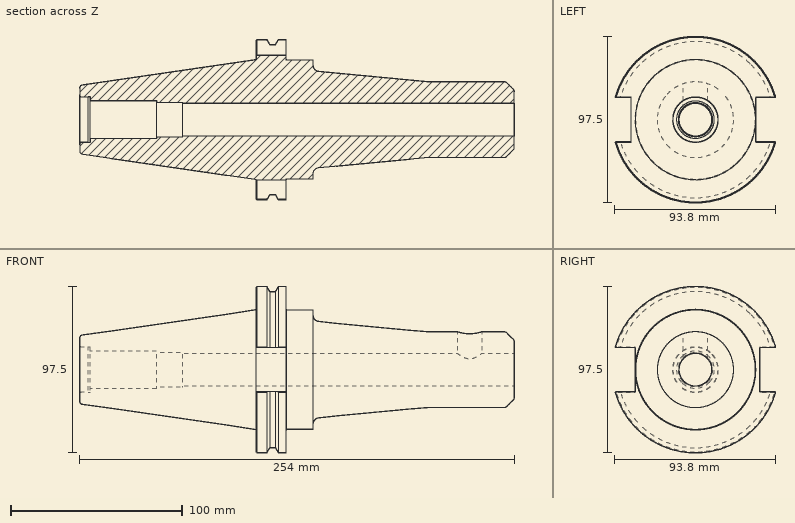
import cadquery as cq
import math

TAPER_LENGTH = 101.6
NOSE_LENGTH = 152.42
GAUGE_DIAMETER = 69.85
TAPER_RATIO = 7 / 24
TAPER_END_ROUND = 2.0

FLANGE_DIAMETER = 97.5
FLANGE_START = 1.5875
FLANGE_END = 19.05
FLANGE_CHAMFER = 0.6

GROOVE_CENTER = 11.2
GROOVE_DEPTH = 3.0
GROOVE_FLOOR_WIDTH = 3.3
GROOVE_WALL_ANGLE = 30

KEYWAY_WIDTH = 25.7
KEYWAY_CHAMFER = 0.45
KEYWAY_FLOOR_FRONT = 35.3
KEYWAY_FLOOR_BACK = 37.7

COLLAR_DIAMETER = GAUGE_DIAMETER
COLLAR_END = 34.925
COLLAR_EDGE_ROUND = 0.5
COLLAR_BASE_ROUND = KEYWAY_FLOOR_FRONT - COLLAR_DIAMETER / 2

SHANK_DIAMETER = 44.45
SHANK_START = 102.0
NECK_ROOT_DIAMETER = 57.15
NECK_ROOT_ROUND = 3.5

NOSE_CHAMFER = 5.0
NOSE_ROUND = 2.0

MOUTH_ROUND = 1.4
PILOT_DIAMETER = 26.2
PILOT_DEPTH = 5.0
UNDERCUT_DIAMETER = 26.7
UNDERCUT_DEPTH = 6.2
THREAD_DIAMETER = 21.97
THREAD_DEPTH = 45.0
RELIEF_DIAMETER = 20.05
RELIEF_DEPTH = 60.0
BORE_DIAMETER = 19.05

SCREW_HOLE_DIAMETER = 14.35
SCREW_HOLE_FROM_NOSE = 26.1


def revolved(profile):
    """Turn a closed profile of (x, radius) points around the X axis."""
    return profile.close().revolve(360, (0, 0, 0), (1, 0, 0))


def round_circle(body, x, radius, round_radius):
    """Fillet the circular edge of the given radius at position x."""
    reach = 0.1
    low_corner = (x - reach, -radius - reach, -radius - reach)
    high_corner = (x + reach, radius + reach, radius + reach)
    circles = body.edges(cq.selectors.BoxSelector(low_corner, high_corner, boundingbox=True))
    wanted = [edge for edge in circles.vals() if abs(edge.BoundingBox().zlen / 2 - radius) < reach]
    return body.newObject(wanted).fillet(round_radius)


def make_taper():
    gauge_radius = GAUGE_DIAMETER / 2
    small_radius = gauge_radius - TAPER_LENGTH * TAPER_RATIO / 2
    base_radius = gauge_radius + FLANGE_START * TAPER_RATIO / 2
    profile = (
        cq.Workplane("XY")
        .moveTo(-TAPER_LENGTH, 0)
        .lineTo(-TAPER_LENGTH, small_radius)
        .lineTo(FLANGE_START, base_radius)
        .lineTo(FLANGE_START, 0)
    )
    return round_circle(revolved(profile), -TAPER_LENGTH, small_radius, TAPER_END_ROUND)


def make_keyway(side, floor):
    """Cutter for one keyway, with chamfers where its walls meet the rim and the taper-side face."""
    half_width = KEYWAY_WIDTH / 2
    chamfered_half_width = half_width + KEYWAY_CHAMFER
    outside = FLANGE_DIAMETER / 2
    rim = math.sqrt(outside**2 - chamfered_half_width**2)
    flare_start = rim - KEYWAY_CHAMFER
    flare_half_width = half_width + outside - flare_start
    upper_half = [
        (side * floor, half_width),
        (side * flare_start, half_width),
        (side * outside, flare_half_width),
    ]
    lower_half = [(y, -z) for y, z in reversed(upper_half)]
    slot = (
        cq.Workplane("YZ", origin=(FLANGE_START, 0, 0))
        .polyline(upper_half + lower_half)
        .close()
        .extrude(FLANGE_END - FLANGE_START)
    )
    face_chamfers = (
        cq.Workplane("XZ", origin=(0, side * floor, 0))
        .moveTo(FLANGE_START, -chamfered_half_width)
        .lineTo(FLANGE_START, chamfered_half_width)
        .lineTo(FLANGE_START + KEYWAY_CHAMFER, half_width)
        .lineTo(FLANGE_START + KEYWAY_CHAMFER, -half_width)
        .close()
        .extrude(-side * (outside - floor))
    )
    return slot.union(face_chamfers)


def make_flange():
    radius = FLANGE_DIAMETER / 2
    floor_radius = radius - GROOVE_DEPTH
    half_floor = GROOVE_FLOOR_WIDTH / 2
    half_mouth = half_floor + GROOVE_DEPTH * math.tan(math.radians(GROOVE_WALL_ANGLE))
    profile = (
        cq.Workplane("XY")
        .moveTo(FLANGE_START, 0)
        .lineTo(FLANGE_START, radius - FLANGE_CHAMFER)
        .lineTo(FLANGE_START + FLANGE_CHAMFER, radius)
        .lineTo(GROOVE_CENTER - half_mouth, radius)
        .lineTo(GROOVE_CENTER - half_floor, floor_radius)
        .lineTo(GROOVE_CENTER + half_floor, floor_radius)
        .lineTo(GROOVE_CENTER + half_mouth, radius)
        .lineTo(FLANGE_END, radius)
        .lineTo(FLANGE_END, 0)
    )
    flange = revolved(profile)
    for side, floor in ((-1, KEYWAY_FLOOR_FRONT), (1, KEYWAY_FLOOR_BACK)):
        flange = flange.cut(make_keyway(side, floor))
    return flange


def make_nose():
    """Collar, conical neck and cylindrical shank, from the flange to the +X end."""
    collar_radius = COLLAR_DIAMETER / 2
    shank_radius = SHANK_DIAMETER / 2
    root_radius = NECK_ROOT_DIAMETER / 2
    tip_radius = shank_radius - NOSE_CHAMFER
    profile = (
        cq.Workplane("XY")
        .moveTo(FLANGE_END, 0)
        .lineTo(FLANGE_END, collar_radius + COLLAR_BASE_ROUND)
        .radiusArc((FLANGE_END + COLLAR_BASE_ROUND, collar_radius), -COLLAR_BASE_ROUND)
        .lineTo(COLLAR_END, collar_radius)
        .lineTo(COLLAR_END, root_radius)
        .lineTo(SHANK_START, shank_radius)
        .lineTo(NOSE_LENGTH - NOSE_CHAMFER, shank_radius)
        .lineTo(NOSE_LENGTH, tip_radius)
        .lineTo(NOSE_LENGTH, 0)
    )
    nose = revolved(profile)
    nose = round_circle(nose, COLLAR_END, collar_radius, COLLAR_EDGE_ROUND)
    nose = round_circle(nose, COLLAR_END, root_radius, NECK_ROOT_ROUND)
    nose = round_circle(nose, NOSE_LENGTH - NOSE_CHAMFER, shank_radius, NOSE_ROUND)
    return round_circle(nose, NOSE_LENGTH, tip_radius, NOSE_ROUND)


def make_bore():
    """Cutter for the stepped through bore."""
    pilot_radius = PILOT_DIAMETER / 2
    steps = [
        (UNDERCUT_DIAMETER, PILOT_DEPTH, UNDERCUT_DEPTH),
        (THREAD_DIAMETER, UNDERCUT_DEPTH, THREAD_DEPTH),
        (RELIEF_DIAMETER, THREAD_DEPTH, RELIEF_DEPTH),
        (BORE_DIAMETER, RELIEF_DEPTH, TAPER_LENGTH + NOSE_LENGTH),
    ]
    profile = (
        cq.Workplane("XY")
        .moveTo(-TAPER_LENGTH, 0)
        .lineTo(-TAPER_LENGTH, pilot_radius + MOUTH_ROUND)
        .radiusArc((MOUTH_ROUND - TAPER_LENGTH, pilot_radius), -MOUTH_ROUND)
        .lineTo(PILOT_DEPTH - TAPER_LENGTH, pilot_radius)
    )
    for diameter, start, end in steps:
        profile = profile.lineTo(start - TAPER_LENGTH, diameter / 2)
        profile = profile.lineTo(end - TAPER_LENGTH, diameter / 2)
    return revolved(profile.lineTo(NOSE_LENGTH, 0))


def make_screw_hole():
    """Cutter for the clamping screw hole, from the bore out through the +Z side."""
    return (
        cq.Workplane("XY")
        .center(NOSE_LENGTH - SCREW_HOLE_FROM_NOSE, 0)
        .circle(SCREW_HOLE_DIAMETER / 2)
        .extrude(SHANK_DIAMETER)
    )


holder = make_taper().union(make_flange()).union(make_nose())
result = holder.cut(make_bore()).cut(make_screw_hole())